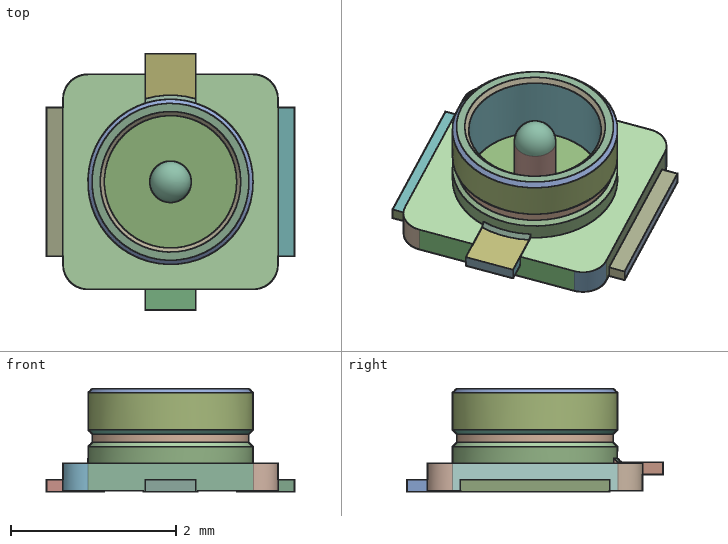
import cadquery as cq

base_side = 2.6
base_corner_radius = 0.3
standoff = 0.012
base_top = 0.35

shell_top = 1.25
shell_radius = 0.998
bore_radius = 0.8
cavity_floor = base_top
bevel = 0.05
groove_bottom = 0.55
groove_top = 0.75

pin_radius = 0.25
pin_top = shell_top

tab_thickness = 0.15
span_x = 3.0
span_y = 3.1
side_tab_length = 1.8
end_tab_width = 0.61
side_pad_inner_x = 0.8
front_pad_inner_y = 0.8
front_pad_width = 0.663
rear_tab_top = 0.36


def block(x_min, x_max, y_min, y_max, z_min, z_max):
    """Axis-aligned box given by its limits."""
    size = (x_max - x_min, y_max - y_min, z_max - z_min)
    return cq.Workplane("XY").box(*size, centered=False).translate((x_min, y_min, z_min))


def make_base():
    return (
        cq.Workplane("XY", origin=(0, 0, standoff))
        .rect(base_side, base_side)
        .extrude(base_top - standoff)
        .edges("|Z")
        .fillet(base_corner_radius)
    )


def make_shell():
    """Revolved ring with a bevelled rim and a snap groove around the outside."""
    groove_radius = shell_radius - bevel
    profile = [
        (bore_radius, cavity_floor),
        (shell_radius, cavity_floor),
        (shell_radius, groove_bottom),
        (groove_radius, groove_bottom + bevel),
        (groove_radius, groove_top - bevel),
        (shell_radius, groove_top),
        (shell_radius, shell_top - bevel),
        (shell_radius - bevel, shell_top),
        (bore_radius + bevel, shell_top),
        (bore_radius, shell_top - bevel),
    ]
    return cq.Workplane("XZ").polyline(profile).close().revolve(360, (0, 0), (0, 1))


def make_pin():
    pin = cq.Workplane("XY", origin=(0, 0, cavity_floor)).circle(pin_radius)
    pin = pin.extrude(pin_top - pin_radius - cavity_floor)
    tip = cq.Workplane("XY").sphere(pin_radius).translate((0, 0, pin_top - pin_radius))
    return pin.union(tip)


def make_side_tab(side):
    """Flat tab reaching under the base; side is -1 for -X and +1 for +X."""
    x_min, x_max = sorted((side * side_pad_inner_x, side * span_x / 2))
    return block(x_min, x_max, -side_tab_length / 2, side_tab_length / 2, 0, tab_thickness)


def make_front_tab():
    """Tab at -Y with a slightly wider solder pad under the base."""
    half_tab = end_tab_width / 2
    half_pad = front_pad_width / 2
    tab = block(-half_tab, half_tab, -span_y / 2, -front_pad_inner_y, 0, tab_thickness)
    pad = block(-half_pad, half_pad, -base_side / 2, -front_pad_inner_y, 0, tab_thickness)
    return tab.union(pad)


def make_rear_tab():
    """Tab at +Y joined to the shell by a small conical flare."""
    half_tab = end_tab_width / 2
    tab_bottom = rear_tab_top - tab_thickness
    inner_y = (bore_radius + shell_radius) / 2
    tab = block(-half_tab, half_tab, inner_y, span_y / 2, tab_bottom, rear_tab_top)
    flare_profile = [
        (inner_y, rear_tab_top),
        (shell_radius + bevel, rear_tab_top),
        (shell_radius, rear_tab_top + bevel),
        (inner_y, rear_tab_top + bevel),
    ]
    flare = cq.Workplane("XZ").polyline(flare_profile).close().revolve(360, (0, 0), (0, 1))
    flare_limit = block(-half_tab, half_tab, 0, span_y / 2, rear_tab_top, shell_top)
    bore = cq.Workplane("XY", origin=(0, 0, cavity_floor)).circle(bore_radius).extrude(shell_top)
    return tab.union(flare.intersect(flare_limit)).cut(bore)


result = make_base().union(make_shell()).union(make_pin())
for side in (-1, 1):
    result = result.union(make_side_tab(side))
result = result.union(make_front_tab()).union(make_rear_tab())